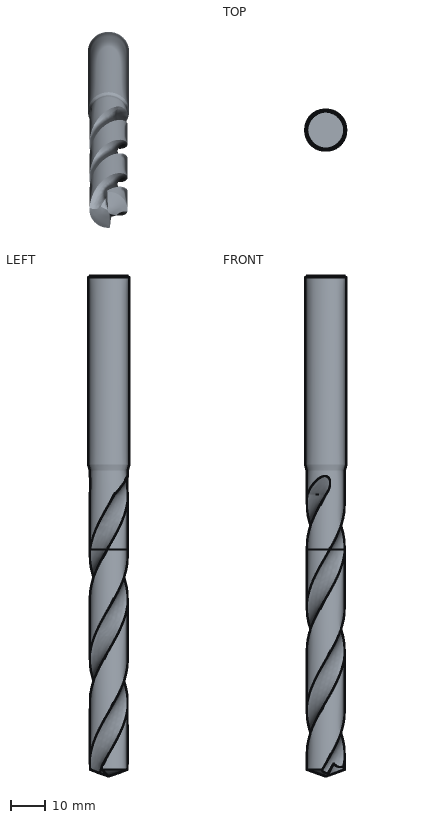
import cadquery as cq
import math

TOTAL_LENGTH = 146.0
SHANK_DIAMETER = 12.0
DRILL_DIAMETER = 11.1
JOINT_HEIGHT = 66.1
NECK_TOP = 89.0
TAPER_TOP = 90.8
TOP_CHAMFER = 0.6
POINT_ANGLE = 140.0

FLUTE_COUNT = 2
HELIX_ANGLE = 30.0
WEB_RADIUS = 2.6
FLUTE_HALF_ANGLE = 36.5
FLUTE_END_HEIGHT = 82.2
FLUTE_END_DIRECTION = 234.0
RUNOUT_ANGLE = 44.0
RUNOUT_RISE_ANGLE = 14.0
RUNOUT_HEIGHT = 8.8

GASH_DIRECTION = -35.0
GASH_LEAN = 32.0
GASH_SIDE = 4.4
GASH_ROLL = 65.0
GASH_START_RADIUS = 0.5

shank_radius = SHANK_DIAMETER / 2
drill_radius = DRILL_DIAMETER / 2
point_height = drill_radius / math.tan(math.radians(POINT_ANGLE / 2))
pitch = math.pi * DRILL_DIAMETER / math.tan(math.radians(HELIX_ANGLE))
helix_turn = 360.0 * FLUTE_END_HEIGHT / pitch

edge_out = drill_radius * math.cos(math.radians(FLUTE_HALF_ANGLE))
flute_center = (drill_radius**2 - WEB_RADIUS**2) / (2 * (edge_out - WEB_RADIUS))
flute_radius = flute_center - WEB_RADIUS


def helical_flute():
    """Twisted cutter from the point up to the flute end, where it lies along +X."""
    return (
        cq.Workplane("XY")
        .moveTo(flute_center, 0)
        .circle(flute_radius)
        .twistExtrude(FLUTE_END_HEIGHT, helix_turn)
        .rotate((0, 0, 0), (0, 0, 1), -helix_turn)
    )


def flute_runout():
    """Straight cutter that climbs out of the neck above the helix."""
    side_shift = RUNOUT_HEIGHT * math.tan(math.radians(RUNOUT_ANGLE))
    outward_shift = RUNOUT_HEIGHT * math.tan(math.radians(RUNOUT_RISE_ANGLE))
    leaning_cylinder = cq.Solid.extrudeLinear(
        cq.Wire.makeCircle(flute_radius, cq.Vector(flute_center, 0, 0), cq.Vector(0, 0, 1)),
        [],
        cq.Vector(outward_shift, side_shift, RUNOUT_HEIGHT),
    )
    return cq.Workplane(leaning_cylinder).translate((0, 0, FLUTE_END_HEIGHT))


def flute_cutters():
    """Helix and runout of every flute, spaced evenly about the axis."""
    cutters = []
    for index in range(FLUTE_COUNT):
        direction = FLUTE_END_DIRECTION + index * 360.0 / FLUTE_COUNT
        for cutter in (helical_flute(), flute_runout()):
            cutters.append(cutter.rotate((0, 0, 0), (0, 0, 1), direction))
    return cutters


def gash_cutters():
    """Leaning square bars, corner inward, that open the flutes towards the centre of the point."""
    bar = (
        cq.Workplane("XY")
        .box(GASH_SIDE, GASH_SIDE, DRILL_DIAMETER, centered=(False, False, True))
        .rotate((0, 0, 0), (0, 0, 1), -GASH_ROLL)
        .rotate((0, 0, 0), (0, 1, 0), GASH_LEAN)
        .translate((GASH_START_RADIUS, 0, 0))
    )
    return [
        bar.rotate((0, 0, 0), (0, 0, 1), GASH_DIRECTION + index * 360.0 / FLUTE_COUNT)
        for index in range(FLUTE_COUNT)
    ]


def make_cutting_end():
    """Fluted lower body with the conical point."""
    body = (
        cq.Workplane("XZ")
        .polyline([(0, 0), (drill_radius, point_height), (drill_radius, JOINT_HEIGHT), (0, JOINT_HEIGHT)])
        .close()
        .revolve(360, (0, 0), (0, 1))
    )
    for cutter in flute_cutters() + gash_cutters():
        body = body.cut(cutter)
    return body


def make_shank():
    """Upper body: fluted neck, taper and plain cylindrical shank."""
    body = (
        cq.Workplane("XZ")
        .polyline(
            [
                (0, JOINT_HEIGHT),
                (drill_radius, JOINT_HEIGHT),
                (drill_radius, NECK_TOP),
                (shank_radius, TAPER_TOP),
                (shank_radius, TOTAL_LENGTH),
                (0, TOTAL_LENGTH),
            ]
        )
        .close()
        .revolve(360, (0, 0), (0, 1))
        .faces(">Z")
        .chamfer(TOP_CHAMFER)
    )
    for cutter in flute_cutters():
        body = body.cut(cutter)
    return body


cutting_end = make_cutting_end()
shank = make_shank()
result = cq.Compound.makeCompound([cutting_end.solids().val(), shank.solids().val()])